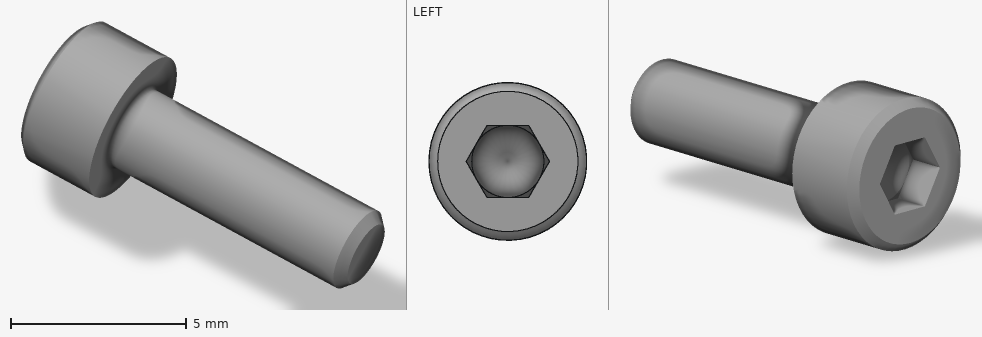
import cadquery as cq
import math

total_length = 10.5
head_diameter = 4.5
head_height = 2.5
head_chamfer = 0.25
shank_diameter = 2.5
neck_fillet = 0.1
tip_chamfer = 0.29
hex_across_flats = 2.06
hex_depth = 1.1
socket_cone_angle = 120.0

head_radius = head_diameter / 2
shank_radius = shank_diameter / 2
fillet_mid = neck_fillet * (1 - math.sqrt(0.5))


def make_body():
    """Revolve the half outline of the head and shank about the X axis."""
    return (
        cq.Workplane("XY")
        .moveTo(0, 0)
        .lineTo(0, head_radius - head_chamfer)
        .lineTo(head_chamfer, head_radius)
        .lineTo(head_height, head_radius)
        .lineTo(head_height, shank_radius + neck_fillet)
        .threePointArc(
            (head_height + fillet_mid, shank_radius + fillet_mid),
            (head_height + neck_fillet, shank_radius),
        )
        .lineTo(total_length - tip_chamfer, shank_radius)
        .lineTo(total_length, shank_radius - tip_chamfer)
        .lineTo(total_length, 0)
        .close()
        .revolve(360, (0, 0, 0), (1, 0, 0))
    )


def make_socket():
    """Hexagonal socket, corners on the Y axis, ending in a cone."""
    across_corners = hex_across_flats / math.cos(math.pi / 6)
    hexagon = cq.Workplane("YZ").polygon(6, across_corners).extrude(hex_depth)
    cone_radius = hex_across_flats / 2
    cone_depth = cone_radius / math.tan(math.radians(socket_cone_angle / 2))
    cone = (
        cq.Workplane("XY")
        .moveTo(hex_depth, 0)
        .lineTo(hex_depth, cone_radius)
        .lineTo(hex_depth + cone_depth, 0)
        .close()
        .revolve(360, (0, 0, 0), (1, 0, 0))
    )
    return hexagon.union(cone)


result = make_body().cut(make_socket())